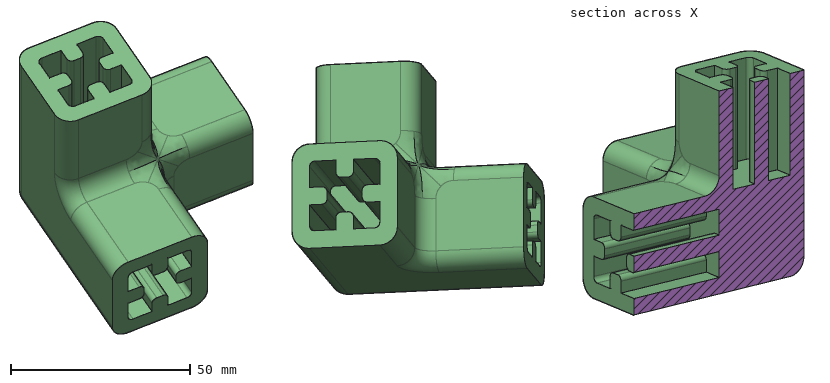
import cadquery as cq
import math


arm_length = 60.0
arm_width = 30.0
edge_radius = 5.0

wall = 5.0
socket_corner_radius = 1.5
key_width = 5.0
key_height = 5.0
key_tip_radius = 1.5

socket_width = arm_width - 2 * wall
socket_depth = arm_length - arm_width
arm_center = arm_width / 2

blend_reach = 2 * edge_radius
blend_center = cq.Vector(arm_width, arm_width, arm_width)
origin = cq.Vector(0, 0, 0)
body_diagonal = cq.Vector(1, 1, 1)
third_turns = (0, 120, 240)
half_turn = 180
quarter_turns = (0, 90, 180, 270)


def make_arms():
    """Union of the three arms, with every edge off the end faces rounded."""
    x_arm = cq.Workplane("XY").box(arm_length, arm_width, arm_width, centered=False)
    y_arm = cq.Workplane("XY").box(arm_width, arm_length, arm_width, centered=False)
    z_arm = cq.Workplane("XY").box(arm_width, arm_width, arm_length, centered=False)
    arms = x_arm.union(y_arm).union(z_arm).clean()

    end_rims = arms.faces(">X or >Y or >Z").edges().vals()
    long_edges = arms.edges().filter(lambda edge: not any(edge.isSame(rim) for rim in end_rims))
    return long_edges.fillet(edge_radius)


def make_blend_faces():
    """One blend patch and the flat quarter disc next to it, about the meeting point.

    The patch lies between the Y arm's rounded edge and the flat side of that arm. It runs
    from the meeting point to the middle of the round and to the middle of the flat's corner arc.
    """
    middle_offset = edge_radius * math.sin(math.radians(45))
    quarter_short = edge_radius * math.sin(math.radians(22.5))
    quarter_long = edge_radius * math.cos(math.radians(22.5))

    round_middle = cq.Vector(middle_offset - edge_radius, blend_reach, middle_offset - edge_radius)
    round_quarter = cq.Vector(quarter_long - edge_radius, blend_reach, quarter_short - edge_radius)
    round_end = cq.Vector(0, blend_reach, -edge_radius)
    flat_quarter = cq.Vector(0, blend_reach - quarter_short, quarter_long - blend_reach)
    flat_middle = cq.Vector(0, blend_reach - middle_offset, middle_offset - blend_reach)
    flat_end = cq.Vector(0, edge_radius, -blend_reach)
    flat_corner = cq.Vector(0, blend_reach, -blend_reach)

    spine = cq.Edge.makeSpline(
        [origin, round_middle],
        tangents=[cq.Vector(-1, 2, -1), cq.Vector(0, 1, 0)],
    )
    round_arc = cq.Edge.makeThreePointArc(round_middle, round_quarter, round_end)
    near_flat_arc = cq.Edge.makeThreePointArc(round_end, flat_quarter, flat_middle)
    diagonal = cq.Edge.makeLine(flat_middle, origin)
    patch = cq.Face.makeNSidedSurface([spine, round_arc, near_flat_arc, diagonal], [])

    flat_arc = cq.Edge.makeThreePointArc(round_end, flat_middle, flat_end)
    flat_sides = cq.Wire.makePolygon([flat_end, flat_corner, round_end])
    flat = cq.Face.makeFromWires(cq.Wire.assembleEdges([flat_arc, *flat_sides.Edges()]))
    return patch, flat


def make_blend(cube):
    """The part of the blend cube that lies inside the surface of patches and flats.

    A half turn about the flat's own diagonal carries its patch at a round onto its patch at a
    fillet, swapping Y and Z mirrors them, and third turns carry them around the body diagonal.
    """
    patch, flat = make_blend_faces()
    flat_diagonal = cq.Vector(0, 1, -1)
    half = [flat, patch, patch.rotate(origin, flat_diagonal, half_turn)]
    sector = half + [face.mirror(flat_diagonal) for face in half]
    surface = cq.Shell.makeShell(
        [face.rotate(origin, body_diagonal, turn) for face in sector for turn in third_turns]
    )
    pieces = cube.split(surface.moved(cq.Location(blend_center))).Solids()
    return min(pieces, key=lambda piece: piece.Center().dot(body_diagonal))


def make_socket():
    """Socket cutter of the Z arm: a rounded square less four round-tipped keys."""
    base = cq.Workplane("XY").workplane(offset=arm_length - socket_depth)
    base = base.center(arm_center, arm_center)
    socket = base.rect(socket_width, socket_width).extrude(socket_depth)
    socket = socket.edges("|Z").fillet(socket_corner_radius)

    key_center = (socket_width - key_height) / 2
    key = base.center(key_center, 0).rect(key_height, key_width).extrude(socket_depth)
    key = key.edges("|Z and <X").fillet(key_tip_radius)

    axis_start = (arm_center, arm_center, 0)
    axis_end = (arm_center, arm_center, 1)
    for turn in quarter_turns:
        socket = socket.cut(key.rotate(axis_start, axis_end, turn))
    return socket


blend_size = 2 * blend_reach
blend_cube = cq.Workplane("XY", origin=blend_center).box(blend_size, blend_size, blend_size)
blend = make_blend(blend_cube.val())
body = make_arms().cut(blend_cube).union(cq.Workplane(blend)).clean()

z_socket = make_socket()
for turn in third_turns:
    body = body.cut(z_socket.rotate(origin, body_diagonal, turn))

result = body.solids()